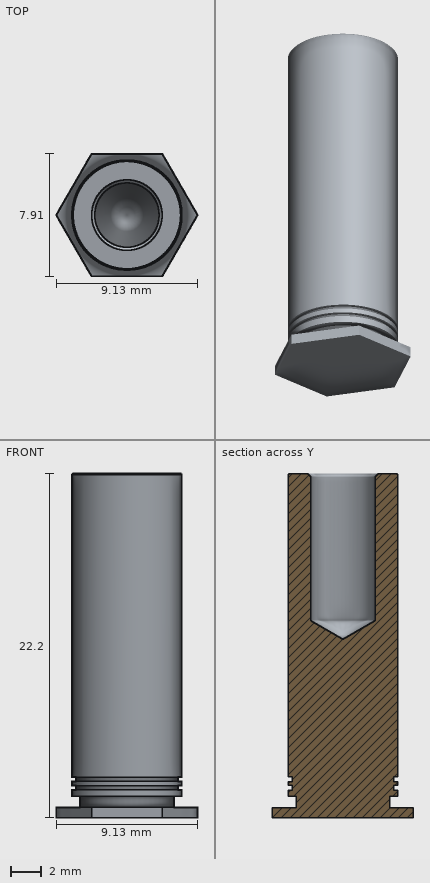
import cadquery as cq
import math

total_height = 22.23
head_top = 0.67
neck_top = 1.38
collar_top = 1.8
ring_bottom = 2.07
ring_top = 2.35
barrel_bottom = 2.62

head_across_flats = 7.91
barrel_diameter = 7.11
groove_diameter = 6.6
neck_diameter = 6.1
barrel_chamfer = 0.1

bore_diameter = 4.15
bore_depth = 9.5
bore_chamfer = 0.2
drill_point_angle = 120.0


def make_head():
    """Flat hexagon with two corners on the X axis."""
    across_corners = head_across_flats / math.cos(math.pi / 6)
    return cq.Workplane("XY").polygon(6, across_corners).extrude(head_top)


def make_cylinder(diameter, bottom, top):
    """Solid cylinder about Z between two heights."""
    return cq.Workplane("XY").workplane(offset=bottom).circle(diameter / 2).extrude(top - bottom)


def make_bore():
    """Chamfered bore from the top face, ending in a cone."""
    radius = bore_diameter / 2
    floor = total_height - bore_depth
    point_depth = radius / math.tan(math.radians(drill_point_angle / 2))
    return (
        cq.Workplane("XZ")
        .moveTo(0, total_height)
        .lineTo(radius + bore_chamfer, total_height)
        .lineTo(radius, total_height - bore_chamfer)
        .lineTo(radius, floor)
        .lineTo(0, floor - point_depth)
        .close()
        .revolve(360, (0, 0, 0), (0, 1, 0))
    )


neck = make_cylinder(neck_diameter, head_top, neck_top)
groove_core = make_cylinder(groove_diameter, neck_top, barrel_bottom)
collar = make_cylinder(barrel_diameter, neck_top, collar_top)
ring = make_cylinder(barrel_diameter, ring_bottom, ring_top)
barrel = make_cylinder(barrel_diameter, barrel_bottom, total_height).faces(">Z").chamfer(barrel_chamfer)

result = make_head()
for section in (neck, groove_core, collar, ring, barrel):
    result = result.union(section)
result = result.cut(make_bore())